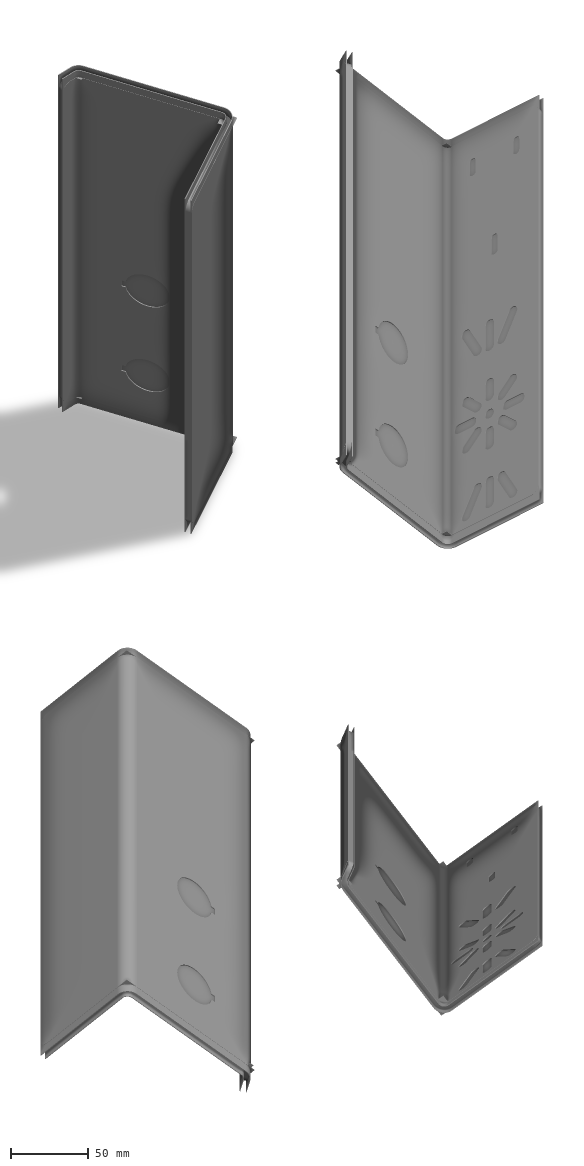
import cadquery as cq
import math

height = 335.3
width = 119.5
wall_depth = 81.8

thickness = 5.0
skin = 0.7
rim_step = 0.17
inner_radius = 4.0
outer_radius = inner_radius + thickness
flange_length = 10.0
flange_angle = math.radians(60)

end_margin = 6.7
edge_margin = 0.7
core_corner_radius = 6.0

flange_reach = (outer_radius - rim_step) * math.sin(flange_angle) + flange_length * math.cos(flange_angle)
flange_bend_x = flange_reach - width

hang_y = -44.5
hang_spacing = 36.2
hang_width = 5.5
upper_hang_z, upper_hang_length = 302.8, 14.0
lower_hang_z, lower_hang_length = 230.0, 16.8
vent_y, vent_z = -40.5, 91.5
vent_width = 7.5
ring_radius = 20.0
straight_length, diagonal_length = 18.0, 20.0
diagonal_offset = 14.8
fan_distance = 65.0
fan_length = 25.5
fan_side_length, fan_side_distance = 28.0, 66.0
fan_tilt = 27.0

opening_x = -60.5
opening_heights = (48.5, 133.8)
opening_radius = 15.5
notch_width, notch_height = 2.7, 5.7

plate_thickness = 0.5
corner_plate_x, corner_plate_y = 10.0, 9.0
flange_plate_x, flange_plate_y = 8.5, 6.5
flange_plate_left = -114.0

tab_width, tab_reach = 3.0, 2.5
tab_x = -109.3


def bend_point(center_x, radius, angle):
    """Point on a bend, with the angle turned from +Y towards -X."""
    return (center_x - radius * math.sin(angle), -outer_radius + radius * math.cos(angle))


def panel_layer(depth_near, depth_far, margin, bottom, top):
    """Part of the folded panel between two depths below its outer surface."""
    half_corner = -math.pi / 4
    near = outer_radius - depth_near
    far = outer_radius - depth_far
    reach = flange_length - margin

    def flange_tip(radius):
        x, y = bend_point(flange_bend_x, radius, flange_angle)
        return (x - reach * math.cos(flange_angle), y - reach * math.sin(flange_angle))

    front = -wall_depth + margin
    outline = (
        cq.Workplane("XY", origin=(0, 0, bottom))
        .moveTo(-depth_near, front)
        .lineTo(-depth_near, -outer_radius)
        .threePointArc(bend_point(-outer_radius, near, half_corner), (-outer_radius, -depth_near))
        .lineTo(flange_bend_x, -depth_near)
        .threePointArc(
            bend_point(flange_bend_x, near, flange_angle / 2),
            bend_point(flange_bend_x, near, flange_angle),
        )
        .lineTo(*flange_tip(near))
        .lineTo(*flange_tip(far))
        .lineTo(*bend_point(flange_bend_x, far, flange_angle))
        .threePointArc(bend_point(flange_bend_x, far, flange_angle / 2), (flange_bend_x, -depth_far))
        .lineTo(-outer_radius, -depth_far)
        .threePointArc(bend_point(-outer_radius, far, half_corner), (-depth_far, -outer_radius))
        .lineTo(-depth_far, front)
        .close()
    )
    return outline.extrude(top - bottom)


def make_core():
    """Full-thickness middle of the panel with rounded corners at its free edges."""
    core = panel_layer(0, thickness, edge_margin, end_margin, height - end_margin)
    core = core.faces("<Y").edges("|X").fillet(core_corner_radius)
    across_flange = cq.Vector(math.sin(flange_angle), -math.cos(flange_angle), 0)
    tip_edges = cq.selectors.ParallelDirSelector(across_flange)
    return core.edges(tip_edges).fillet(core_corner_radius)


def slot(y, z, length, slot_width, angle):
    """Slot through the inner skin of the right wall, angle from the Y axis."""
    return (
        cq.Workplane("YZ", origin=(-thickness, y, z))
        .slot2D(length, slot_width, angle)
        .extrude(skin)
    )


def wall_slots():
    """Hanging slots, rosette slots and the two fans of vent slots."""
    slots = [slot(hang_y, lower_hang_z, lower_hang_length, hang_width, 90)]
    for side in (-1, 1):
        slots.append(slot(hang_y + side * hang_spacing / 2, upper_hang_z, upper_hang_length, hang_width, 90))
        slots.append(slot(vent_y + side * ring_radius, vent_z, straight_length, vent_width, 0))
        slots.append(slot(vent_y, vent_z + side * ring_radius, straight_length, vent_width, 90))
        slots.append(slot(vent_y, vent_z + side * fan_distance, fan_length, vent_width, 90))
        for level in (-1, 1):
            y = vent_y + side * diagonal_offset
            turn = side * level
            slots.append(slot(y, vent_z + level * diagonal_offset, diagonal_length, vent_width, turn * 45))
            fan_z = vent_z + level * fan_side_distance
            slots.append(slot(y, fan_z, fan_side_length, vent_width, turn * (90 - fan_tilt)))
    return slots


def opening(z, surface_y):
    """Round skin opening with a small notch on its left."""
    plane = cq.Workplane("XZ", origin=(opening_x, surface_y, z))
    disc = plane.circle(opening_radius).extrude(skin)
    notch_span = opening_radius + notch_width
    notch = plane.center(-notch_span / 2, 0).rect(notch_span, notch_height).extrude(skin)
    return disc.union(notch)


def plate(left, front, bottom, size_x, size_y):
    """Thin horizontal plate placed by its left front lower corner."""
    flat = cq.Workplane("XY").box(size_x, size_y, plate_thickness, centered=False)
    return flat.translate((left, front, bottom))


def end_plates(bottom):
    """One plate across each bend, reaching to the plane of the back face."""
    corner = plate(-corner_plate_x, -corner_plate_y, bottom, corner_plate_x, corner_plate_y)
    flange = plate(flange_plate_left, -flange_plate_y, bottom, flange_plate_x, flange_plate_y)
    return corner.add(flange).combine()


result = make_core()
for near, far in ((rim_step, skin), (thickness - skin, thickness - rim_step)):
    result = result.union(panel_layer(near, far, 0, 0, height))

for cutter in wall_slots():
    result = result.cut(cutter)
center_hole = cq.Workplane("YZ", origin=(-thickness, vent_y, vent_z)).circle(vent_width / 2).extrude(skin)
result = result.cut(center_hole)

for z in opening_heights:
    result = result.cut(opening(z, 0))
    result = result.cut(opening(z, skin - thickness))

result = result.union(end_plates(end_margin))
result = result.union(end_plates(height - end_margin - plate_thickness))
tab = plate(tab_x - tab_width / 2, -flange_plate_y, end_margin, tab_width, flange_plate_y + tab_reach)
result = result.union(tab)